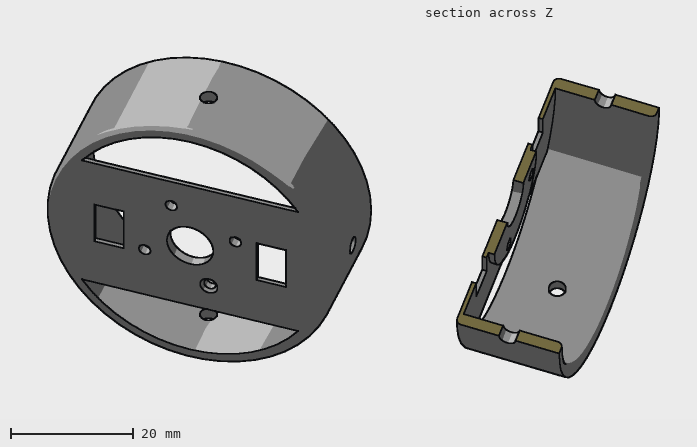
import cadquery as cq
import math

outer_diameter = 50.0
depth = 18.0
wall = 2.15
front_fillet = 1.0
rear_inner_fillet = 1.0
inner_radius = outer_diameter / 2 - wall
front_y = -depth / 2

web_height = 26.2
web_thickness = 0.8

pad_diameter = 21.0
pad_thickness = 1.8

shaft_diameter = 8.0
slot_width = 5.1
slot_height = 8.1
slot_offset = 14.05
screw_diameter = 2.0
screw_circle_radius = 8.5
screw_start_angle = 22.5
countersink_diameter = 3.0
countersunk_screw = 3

radial_hole_diameter = 2.8


def cylinder_along_y(diameter, length, x=0, z=0):
    """Cylinder starting at the front face and running toward +Y."""
    base = cq.Workplane("XZ", origin=(x, front_y, z))
    return base.circle(diameter / 2).extrude(-length)


def make_ring():
    body = cylinder_along_y(outer_diameter, depth).faces("<Y").edges().fillet(front_fillet)
    body = body.cut(cylinder_along_y(2 * inner_radius, depth))
    bore_rim = body.faces(">Y").edges(cq.selectors.RadiusNthSelector(0))
    return bore_rim.fillet(rear_inner_fillet)


def make_web():
    disc = cylinder_along_y(2 * inner_radius + wall / 2, web_thickness)
    band = cq.Workplane("XY").box(outer_diameter, 2 * depth, web_height)
    return disc.intersect(band).union(cylinder_along_y(pad_diameter, pad_thickness))


def cut_web_openings(body):
    body = body.cut(cylinder_along_y(shaft_diameter, pad_thickness))
    for side in (-1, 1):
        slot = cq.Workplane("XY").box(slot_width, web_thickness, slot_height)
        body = body.cut(slot.translate((side * slot_offset, front_y + web_thickness / 2, 0)))
    for index in range(4):
        angle = math.radians(screw_start_angle + 90 * index)
        x = screw_circle_radius * math.cos(angle)
        z = screw_circle_radius * math.sin(angle)
        body = body.cut(cylinder_along_y(screw_diameter, pad_thickness, x, z))
        if index == countersunk_screw:
            sink_depth = (countersink_diameter - screw_diameter) / 2
            sink = cq.Solid.makeCone(
                countersink_diameter / 2, screw_diameter / 2, sink_depth,
                cq.Vector(x, front_y, z), cq.Vector(0, 1, 0),
            )
            body = body.cut(cq.Workplane(obj=sink))
    return body


def cut_radial_holes(body):
    for plane in ("XY", "YZ"):
        drill = cq.Workplane(plane).circle(radial_hole_diameter / 2).extrude(outer_diameter / 2, both=True)
        body = body.cut(drill)
    return body


result = cut_radial_holes(cut_web_openings(make_ring().union(make_web())))